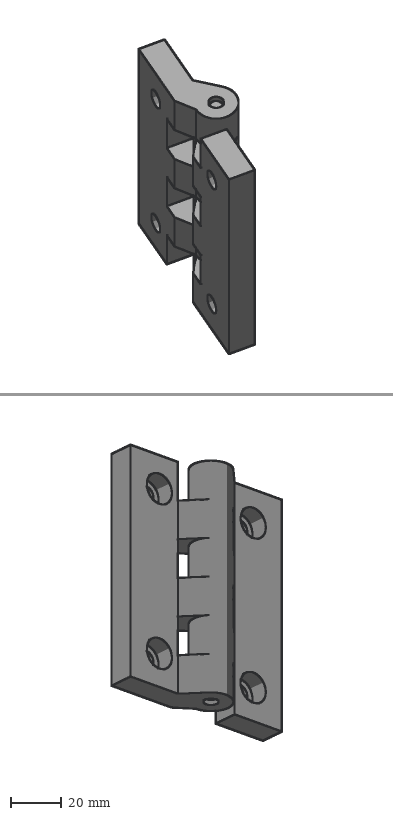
import cadquery as cq
import math

length = 102.0
width = 80.0
plate_thickness = 11.6
barrel_radius = 9.0
total_depth = 23.5
axis_y = total_depth - barrel_radius

knuckle_count = 6
knuckle_length = length / knuckle_count
slot_half_width = 15.0
notch_half_width = 8.2
notch_apex_offset = 0.1

hole_diameter = 8.0
hole_x = 24.8
hole_end_distance = 14.8
counterbore_diameter = 13.3
counterbore_floor = 3.5

recess_diameter = 6.1
recess_depth = 2.0
pin_end_diameter = 5.3
pin_chamfer = (recess_diameter - pin_end_diameter) / 2


def arm(side, base_z):
    """Arm that ties the barrel to the leaf on the given side (-1 or +1 along X)."""
    drop = axis_y - plate_thickness
    corner_distance = math.hypot(slot_half_width, drop)
    tangent_angle = math.acos(barrel_radius / corner_distance) - math.atan2(drop, slot_half_width)
    tangent_x = barrel_radius * math.cos(tangent_angle)
    tangent_y = axis_y + barrel_radius * math.sin(tangent_angle)

    apex_y = axis_y - math.sqrt(barrel_radius**2 - notch_apex_offset**2)

    return (
        cq.Workplane("XY", origin=(0, 0, base_z))
        .moveTo(side * slot_half_width, 0)
        .lineTo(side * notch_half_width, 0)
        .lineTo(side * notch_apex_offset, apex_y)
        .lineTo(side * notch_apex_offset, axis_y)
        .lineTo(side * tangent_x, tangent_y)
        .lineTo(side * slot_half_width, plate_thickness)
        .close()
        .extrude(knuckle_length)
    )


def leaf(side):
    """Flat mounting plate outside the knuckle slots."""
    plate_width = width / 2 - slot_half_width
    return (
        cq.Workplane("XY")
        .box(plate_width, plate_thickness, length, centered=(True, False, False))
        .translate((side * (slot_half_width + plate_width / 2), 0, 0))
    )


leaves = {1: leaf(1), -1: leaf(-1)}
for index in range(knuckle_count):
    side = 1 if index % 2 == 0 else -1
    leaves[side] = leaves[side].union(arm(side, index * knuckle_length))

barrel = cq.Workplane("XY", origin=(0, axis_y, 0)).circle(barrel_radius).extrude(length)
result = barrel.union(leaves[1]).union(leaves[-1])

hole_points = [
    (x, z)
    for x in (-hole_x, hole_x)
    for z in (hole_end_distance, length - hole_end_distance)
]
mounting_holes = (
    cq.Workplane("XZ")
    .pushPoints(hole_points)
    .circle(hole_diameter / 2)
    .extrude(-plate_thickness)
)
counterbores = (
    cq.Workplane("XZ", origin=(0, counterbore_floor, 0))
    .pushPoints(hole_points)
    .circle(counterbore_diameter / 2)
    .extrude(counterbore_floor - plate_thickness)
)
result = result.cut(mounting_holes).cut(counterbores)

recess = (
    cq.Workplane("XY", origin=(0, axis_y, 0))
    .circle(recess_diameter / 2)
    .extrude(recess_depth + pin_chamfer)
)
pin_end = cq.Workplane("XY").add(
    cq.Solid.makeCone(
        pin_end_diameter / 2,
        recess_diameter / 2,
        pin_chamfer,
        pnt=cq.Vector(0, axis_y, recess_depth),
    )
)
bottom_recess = recess.cut(pin_end)
top_recess = bottom_recess.mirror("XY", (0, 0, length / 2))
result = result.cut(bottom_recess).cut(top_recess)